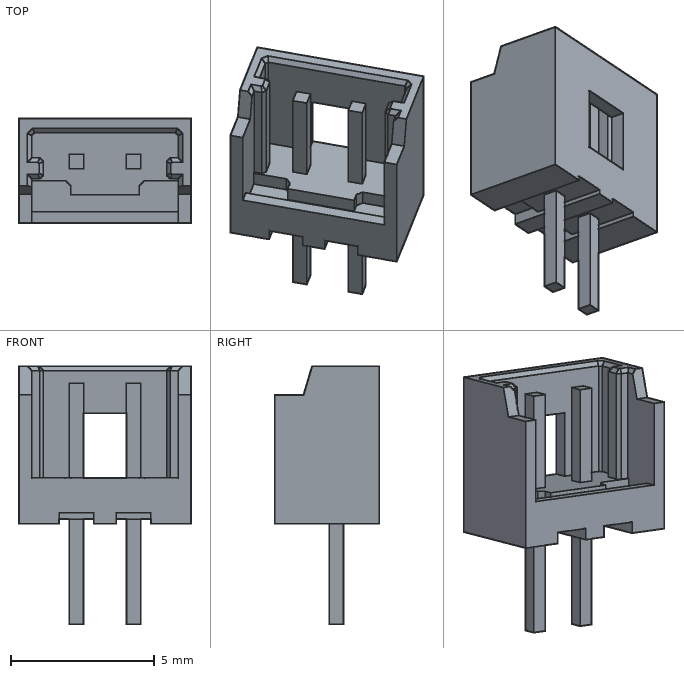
import cadquery as cq


width = 6.0
depth = 3.65
total_height = 9.0
housing_height = 5.5
side_wall = 0.45
back_wall = 0.5
front_wall = 0.405
center_x = width / 2

shoulder_height = 4.5
shoulder_depth = 1.01
slope_end = 1.305

floor_height = 1.6
corner_cut = 0.09
mouth_chamfer = 0.15

rib_length = 0.405
rib_width = 0.73
rib_y = 1.91
rib_corner = 0.13

trough_floor = 1.1
trough_back = 1.485
tongue_front = 0.99
tongue_width = 2.39
tongue_corner = 0.18

pitch = 2.0
pin_size = 0.5
pin_y = 2.15
pin_top = 4.9
pin_bottom = housing_height - total_height
pin_places = [center_x - pitch / 2, center_x + pitch / 2]

window_width = 2.0
window_top = 3.85

channel_width = 1.21
channel_height = 0.16
entry_height = 0.4
entry_depth = 1.0


def centered_box(x_center, x_size, y_min, y_max, z_min, z_max):
    """Box centered across x_center and spanning the given Y and Z limits."""
    size = (x_size, y_max - y_min, z_max - z_min)
    corner = (x_center - x_size / 2, y_min, z_min)
    return cq.Workplane("XY").box(*size, centered=False).translate(corner)


def make_housing():
    """Stepped side profile extruded across the width."""
    profile = [
        (0, 0),
        (depth, 0),
        (depth, housing_height),
        (slope_end, housing_height),
        (shoulder_depth, shoulder_height),
        (0, shoulder_height),
    ]
    return cq.Workplane("YZ").polyline(profile).close().extrude(width)


def cavity_outline(offset):
    """Cavity outline with guide ribs, grown outward by offset."""
    spread = offset * (2 - 2 ** 0.5)
    wall = center_x - side_wall + offset
    rib_tip = wall - rib_length
    rib_half = rib_width / 2 - offset
    rib_cut = rib_corner - spread
    back = depth - back_wall + offset
    corner = corner_cut + spread
    right_half = [
        (wall, -mouth_chamfer),
        (wall, rib_y - rib_half),
        (rib_tip + rib_cut, rib_y - rib_half),
        (rib_tip, rib_y - rib_half + rib_cut),
        (rib_tip, rib_y + rib_half - rib_cut),
        (rib_tip + rib_cut, rib_y + rib_half),
        (wall, rib_y + rib_half),
        (wall, back - corner),
        (wall - corner, back),
    ]
    left_half = [(-x, y) for x, y in reversed(right_half)]
    return [(center_x + x, y) for x, y in right_half + left_half]


def make_cavity():
    """Front-open cavity with a flared mouth at the top."""
    cavity = (
        cq.Workplane("XY", origin=(0, 0, floor_height))
        .polyline(cavity_outline(0))
        .close()
        .extrude(housing_height - floor_height)
    )
    mouth = (
        cq.Workplane("XY", origin=(0, 0, housing_height - mouth_chamfer))
        .polyline(cavity_outline(0))
        .close()
        .workplane(offset=mouth_chamfer)
        .polyline(cavity_outline(mouth_chamfer))
        .close()
        .loft(ruled=True)
    )
    return cavity.union(mouth)


def make_trough():
    """Recess across the cavity floor, with the floor's central tongue left standing out."""
    half_tongue = tongue_width / 2
    outline = [
        (side_wall, front_wall),
        (width - side_wall, front_wall),
        (width - side_wall, trough_back),
        (center_x + half_tongue + tongue_corner, trough_back),
        (center_x + half_tongue, trough_back - tongue_corner),
        (center_x + half_tongue, tongue_front),
        (center_x - half_tongue, tongue_front),
        (center_x - half_tongue, trough_back - tongue_corner),
        (center_x - half_tongue - tongue_corner, trough_back),
        (side_wall, trough_back),
    ]
    trough = cq.Workplane("XY", origin=(0, 0, trough_floor)).polyline(outline).close()
    return trough.extrude(floor_height - trough_floor)


def make_channel(x):
    channel = centered_box(x, channel_width, 0, depth, 0, channel_height)
    entry = centered_box(x, channel_width, 0, entry_depth, 0, entry_height)
    return channel.union(entry)


def make_pin(x):
    return centered_box(x, pin_size, pin_y - pin_size / 2, pin_y + pin_size / 2, pin_bottom, pin_top)


window = centered_box(center_x, window_width, depth - back_wall, depth, floor_height, window_top)

result = make_housing().cut(make_cavity()).cut(make_trough()).cut(window)
for pin_x in pin_places:
    result = result.cut(make_channel(pin_x)).union(make_pin(pin_x))